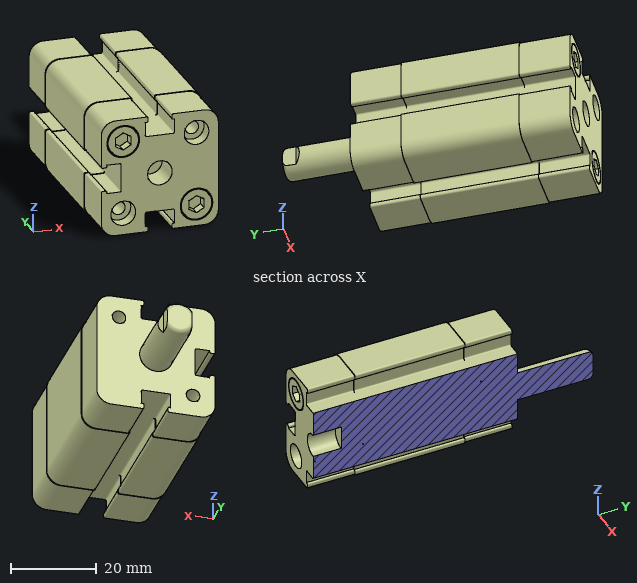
import cadquery as cq


total_length = 72.5
rod_length = 19.5
cap_length = 12.25
body_length = total_length - rod_length
tube_length = body_length - 2 * cap_length

tube_width = 29.1
cap_inset = 0.15
corner_radius = 3.5

slot_opening = 5.5
slot_width = 6.8
slot_floor_height = 9.5
lip_thickness = 1.4
lip_radius = 0.4
slot_corner_radius = 0.35
slot_angles = (0, 90, 180)

hole_offset = 9.0
through_diameter = 3.25
wide_diameter = 6.0
wide_depth = 3.5
port_depth = 7.25
screw_recess_diameter = 8.0
screw_head_diameter = 7.5
screw_groove_depth = 1.45
hex_corner_diameter = 4.3
hex_depth = 2.55

rod_diameter = 8.0
rod_end_radius = 1.2
flat_width = 6.0
flat_length = 3.4
flat_runout = 1.0


def along_y(y_position):
    """XZ sketch plane whose extrusions run toward +Y; sketch axes are X and Z."""
    return cq.Workplane(cq.Plane(origin=(0, y_position, 0), xDir=(1, 0, 0), normal=(0, -1, 0)))


def bar(sketch, length):
    """Extrude a sketch from along_y toward +Y."""
    return sketch.extrude(-length)


def slot_cutter(inset, y_start, length):
    """Lipped slot opening on the top face; its free space grows by the inset."""
    face_height = tube_width / 2 - inset
    half_opening = slot_opening / 2 + inset
    half_width = slot_width / 2 + inset
    underside = face_height - lip_thickness
    flare = half_opening + lip_radius

    outline = (
        along_y(y_start)
        .moveTo(flare, face_height)
        .radiusArc((half_opening, face_height - lip_radius), -lip_radius)
        .lineTo(half_opening, underside + lip_radius)
        .radiusArc((flare, underside), -lip_radius)
        .lineTo(half_width, underside)
        .lineTo(half_width, slot_floor_height + slot_corner_radius)
        .radiusArc((half_width - slot_corner_radius, slot_floor_height), slot_corner_radius)
        .lineTo(-half_width + slot_corner_radius, slot_floor_height)
        .radiusArc((-half_width, slot_floor_height + slot_corner_radius), slot_corner_radius)
        .lineTo(-half_width, underside)
        .lineTo(-flare, underside)
        .radiusArc((-half_opening, underside + lip_radius), -lip_radius)
        .lineTo(-half_opening, face_height - lip_radius)
        .radiusArc((-flare, face_height), -lip_radius)
        .close()
    )
    return bar(outline, length)


def slotted_section(inset, y_start, length):
    """Rounded square bar with slots on the top, -X and bottom faces."""
    width = tube_width - 2 * inset
    section = bar(along_y(y_start).rect(width, width), length)
    section = section.edges("|Y").fillet(corner_radius)
    cutter = slot_cutter(inset, y_start, length)
    for angle in slot_angles:
        section = section.cut(cutter.rotate((0, 0, 0), (0, 1, 0), -angle))
    return section


def piston_rod():
    """Round rod with a rounded end and two flats that run out on slopes."""
    rod = bar(along_y(body_length).circle(rod_diameter / 2), rod_length)
    rod = rod.faces(">Y").edges().fillet(rod_end_radius)
    flat_x = flat_width / 2
    outer_x = rod_diameter / 2
    flat_start = total_length - flat_length
    flat = (
        cq.Workplane("XY")
        .polyline([
            (flat_x, total_length),
            (flat_x, flat_start),
            (outer_x, flat_start - flat_runout),
            (outer_x, total_length),
        ])
        .close()
        .extrude(rod_diameter / 2, both=True)
    )
    return rod.cut(flat).cut(flat.mirror("YZ"))


def stepped_holes():
    """Through holes with a wider mouth in the front cap, on one diagonal."""
    centers = [(hole_offset, hole_offset), (-hole_offset, -hole_offset)]
    through = bar(along_y(0).pushPoints(centers).circle(through_diameter / 2), body_length)
    mouth = bar(along_y(0).pushPoints(centers).circle(wide_diameter / 2), wide_depth)
    return through.union(mouth)


def screw_details():
    """Clearance grooves around the flush screw heads and their hex sockets."""
    centers = [(-hole_offset, hole_offset), (hole_offset, -hole_offset)]
    rings = along_y(0).pushPoints(centers).circle(screw_recess_diameter / 2).circle(screw_head_diameter / 2)
    grooves = bar(rings, screw_groove_depth)
    for x, z in centers:
        hexagon = along_y(0).center(x, z).transformed(rotate=(0, 0, 90)).polygon(6, hex_corner_diameter)
        grooves = grooves.union(bar(hexagon, hex_depth))
    return grooves


front_cap = slotted_section(cap_inset, 0, cap_length)
tube = slotted_section(0, cap_length, tube_length)
rear_cap = slotted_section(cap_inset, cap_length + tube_length, cap_length)
center_port = bar(along_y(0).circle(wide_diameter / 2), port_depth)

result = front_cap.union(tube).union(rear_cap).union(piston_rod())
result = result.cut(stepped_holes()).cut(screw_details()).cut(center_port)